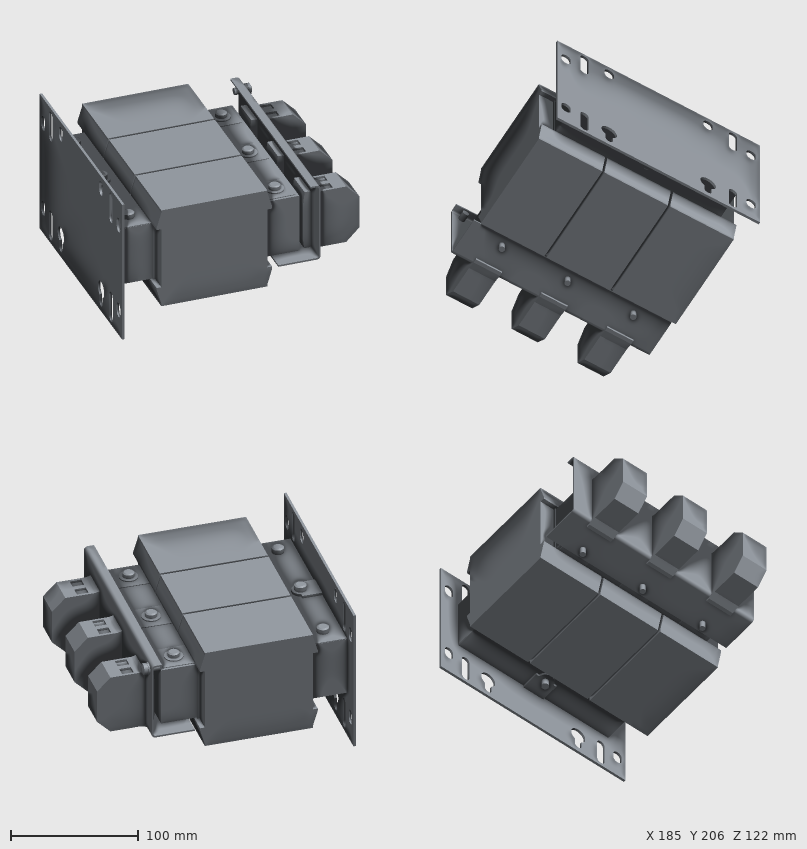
import cadquery as cq

PLATE_X, PLATE_T, PLATE_Z = 185.0, 2.0, 122.0

PITCH = 60.0
PHASE_X = [-PITCH, 0, PITCH]

CORE_X = 150.5
CORE_BACK = 154.6
CORE_BOTTOM, CORE_TOP = -21.0, 28.6
FLANGE_T = 2.0
FLANGE_OVERHANG = 0.8
FLANGE_X = CORE_X + 2 * FLANGE_OVERHANG

COIL_X = 57.9
COIL_FRONT, COIL_BACK = 34.2, 123.0
COIL_BOTTOM, COIL_TOP = -39.7, 47.2
LIP_REACH = 4.0
LIP_EDGE = 2.0
LIP_CLEARANCE = 0.6

TONGUE_TIP_X, TONGUE_ROOT_X = 26.1, 27.0
TONGUE_END = 152.4
SHEET_T = 0.6
SHEET_INSET = 0.2
STACK_BOTTOM, STACK_TOP = CORE_BOTTOM - SHEET_T, CORE_TOP + SHEET_T

REAR_BOLT_Y, FRONT_BOLT_Y = 139.5, 17.0
REAR_HEAD_R, FRONT_HEAD_R, HEAD_H = 4.7, 5.0, 5.0
HEAD_FLAT_R, HEAD_BEVEL_H = 3.5, 0.8
WASHER_R, WASHER_T = 7.6, 1.0
REAR_SHANK_R, FRONT_SHANK_R = 2.5, 3.0
SHANK_END = -29.6

TAB_X, TAB_END, TAB_T, TAB_EYE_R = 20.0, 18.5, 2.3, 7.2

BRACKET_X, BRACKET_T, BRACKET_BEND = 180.4, 1.5, 3.0
BRACKET_BACK, BRACKET_FRONT = 166.8, 131.5
BRACKET_TOP, BRACKET_LIP_FRONT = 43.9, 158.5

EARTH_X, EARTH_Z = -81.5, 36.9
EARTH_SHANK_R, EARTH_SHANK_END = 2.9, 158.3
EARTH_WASHER_R, LOCK_WASHER_R, EARTH_WASHER_T = 5.0, 4.3, 1.2
EARTH_HEAD_R, EARTH_HEAD_BACK = 4.7, 172.8
EARTH_HEAD_FLAT_R, EARTH_BEVEL_H = 2.3, 1.2

TERMINAL_X, TERMINAL_OFFSET = 12.0, 0.5
TERMINAL_MID_Z = 2.0
TERMINAL_HALF_Z, CLIP_HALF_Z = 25.1, 27.0
TERMINAL_BACK, TERMINAL_CHAMFER = 206.0, 11.0
CLIP_FRONT, CLIP_SHOULDER, CLIP_CREST, CLIP_SLOPE_END = 159.0, 160.2, 163.5, 170.5
CLIP_CHAMFER_Z = 10.3
WINDOW_X, WINDOW_Y, WINDOW_MID_Y, WINDOW_DEPTH = 7.6, 9.5, 180.0, 2.0


def box(x0, x1, y0, y1, z0, z1):
    return cq.Workplane("XY").box(x1 - x0, y1 - y0, z1 - z0, centered=False).translate((x0, y0, z0))


def centred_box(width, y0, y1, z0, z1, x=0):
    return box(x - width / 2, x + width / 2, y0, y1, z0, z1)


def disc_z(x, y, z0, z1, radius):
    return cq.Workplane("XY").center(x, y).circle(radius).extrude(z1 - z0).translate((0, 0, z0))


def disc_y(x, z, y0, y1, radius):
    return cq.Workplane("XZ").center(x, z).circle(radius).extrude(y0 - y1).translate((0, y0, 0))


def side_profile(points, x, width):
    """Extrude a closed (y, z) outline along X, centred on x."""
    return cq.Workplane("YZ").polyline(points).close().extrude(width / 2, both=True).translate((x, 0, 0))


CORNER_SLOT_X, CORNER_SLOT_Z = 84.5, 38.5
CORNER_SLOT_LENGTH, CORNER_SLOT_WIDTH = 12.4, 8.2
LONG_SLOT_X, LONG_SLOT_Z = 67.7, 44.9
LONG_SLOT_LENGTH, LONG_SLOT_WIDTH = 26.5, 7.5
INNER_X = 45.0
SHORT_SLOT_Z = 50.2
KEYHOLE_Z, KEYHOLE_R = -41.4, 7.0
KEYHOLE_NECK_WIDTH, KEYHOLE_NECK_END = 6.5, -56.5


def upright_slot(x, z, length, width):
    return (cq.Workplane("XZ").center(x, z).slot2D(length, width, 90)
            .extrude(PLATE_T, both=True))


def mounting_plate():
    plate = centred_box(PLATE_X, 0, PLATE_T, -PLATE_Z / 2, PLATE_Z / 2)
    neck_length = KEYHOLE_Z - KEYHOLE_NECK_END
    neck_z = (KEYHOLE_Z + KEYHOLE_NECK_END) / 2
    for side in (-1, 1):
        for level in (-1, 1):
            plate = plate.cut(upright_slot(side * CORNER_SLOT_X, level * CORNER_SLOT_Z,
                                           CORNER_SLOT_LENGTH, CORNER_SLOT_WIDTH))
            plate = plate.cut(upright_slot(side * LONG_SLOT_X, level * LONG_SLOT_Z,
                                           LONG_SLOT_LENGTH, LONG_SLOT_WIDTH))
        x = side * INNER_X
        plate = plate.cut(upright_slot(x, SHORT_SLOT_Z, CORNER_SLOT_LENGTH, CORNER_SLOT_WIDTH))
        plate = plate.cut(disc_y(x, KEYHOLE_Z, 0, PLATE_T, KEYHOLE_R))
        plate = plate.cut(upright_slot(x, neck_z, neck_length, KEYHOLE_NECK_WIDTH))
    return plate


def plate_tab(z0):
    tab = centred_box(TAB_X, 0, TAB_END, z0, z0 + TAB_T)
    return tab.union(disc_z(0, FRONT_BOLT_Y, z0, z0 + TAB_T, TAB_EYE_R))


def core():
    front_yoke = centred_box(CORE_X, PLATE_T, COIL_FRONT, CORE_BOTTOM, CORE_TOP)
    rear_yoke = centred_box(CORE_X, COIL_BACK, CORE_BACK, CORE_BOTTOM, CORE_TOP)
    front_sheets = centred_box(CORE_X - 2 * SHEET_INSET, PLATE_T, COIL_FRONT, STACK_BOTTOM, STACK_TOP)
    body = front_yoke.union(rear_yoke).union(front_sheets)
    z0, z1 = CORE_BOTTOM - FLANGE_OVERHANG, CORE_TOP + FLANGE_OVERHANG
    body = body.union(centred_box(FLANGE_X, COIL_FRONT - FLANGE_T, COIL_FRONT, z0, z1))
    return body.union(centred_box(FLANGE_X, COIL_BACK, COIL_BACK + FLANGE_T, z0, z1))


def coil(x):
    lip_bottom = CORE_BOTTOM - FLANGE_OVERHANG - LIP_CLEARANCE
    lip_top = CORE_TOP + FLANGE_OVERHANG + LIP_CLEARANCE
    lip_front, lip_back = COIL_FRONT - LIP_REACH, COIL_BACK + LIP_REACH
    outline = [
        (COIL_FRONT, COIL_TOP), (COIL_BACK, COIL_TOP), (COIL_BACK, COIL_TOP - LIP_EDGE),
        (lip_back, lip_top + LIP_EDGE), (lip_back, lip_top), (COIL_BACK, lip_top),
        (COIL_BACK, lip_bottom), (lip_back, lip_bottom), (lip_back, lip_bottom - LIP_EDGE),
        (COIL_BACK, COIL_BOTTOM + LIP_EDGE), (COIL_BACK, COIL_BOTTOM),
        (COIL_FRONT, COIL_BOTTOM), (COIL_FRONT, COIL_BOTTOM + LIP_EDGE),
        (lip_front, lip_bottom - LIP_EDGE), (lip_front, lip_bottom), (COIL_FRONT, lip_bottom),
        (COIL_FRONT, lip_top), (lip_front, lip_top), (lip_front, lip_top + LIP_EDGE),
        (COIL_FRONT, COIL_TOP - LIP_EDGE),
    ]
    return side_profile(outline, x, COIL_X)


def tongue(x, z0):
    """Thin insulating strip lying on the rear yoke, slightly wider towards the coil."""
    root, tip = TONGUE_ROOT_X / 2, TONGUE_TIP_X / 2
    outline = [(x - root, COIL_BACK), (x - tip, TONGUE_END), (x + tip, TONGUE_END), (x + root, COIL_BACK)]
    return cq.Workplane("XY").polyline(outline).close().extrude(SHEET_T).translate((0, 0, z0))


def bevel(head, end, depth, inset):
    """Bevel the rim of a screw head: depth along its axis, inset towards the axis."""
    return head.faces(end).edges().chamfer(depth, inset)


def bolt(x, y, seat, head_r, shank_r, shank_end):
    head = disc_z(x, y, seat, seat + HEAD_H, head_r)
    head = bevel(head, ">Z", HEAD_BEVEL_H, head_r - HEAD_FLAT_R)
    return head.union(disc_z(x, y, shank_end, seat, shank_r))


def rear_bolt(x):
    seat = STACK_TOP
    washer = disc_z(x, REAR_BOLT_Y, seat, seat + WASHER_T, WASHER_R)
    return washer.union(bolt(x, REAR_BOLT_Y, seat, REAR_HEAD_R, REAR_SHANK_R, SHANK_END))


def front_bolt(x):
    """Only the middle bolt passes right through; it also clamps the plate tabs."""
    if x == 0:
        return bolt(x, FRONT_BOLT_Y, STACK_TOP + TAB_T, FRONT_HEAD_R, FRONT_SHANK_R, SHANK_END)
    return bolt(x, FRONT_BOLT_Y, STACK_TOP, FRONT_HEAD_R, FRONT_SHANK_R, CORE_BOTTOM)


def bracket():
    shelf_top = STACK_BOTTOM
    z0 = shelf_top - BRACKET_T
    inner = BRACKET_BACK - BRACKET_T
    outline = [
        (BRACKET_FRONT, z0), (BRACKET_BACK, z0), (BRACKET_BACK, BRACKET_TOP),
        (BRACKET_LIP_FRONT, BRACKET_TOP), (BRACKET_LIP_FRONT, BRACKET_TOP - BRACKET_T),
        (inner, BRACKET_TOP - BRACKET_T), (inner, shelf_top), (BRACKET_FRONT, shelf_top),
    ]
    sheet = side_profile(outline, 0, BRACKET_X)
    sheet = sheet.faces(">Y").edges("|X").fillet(BRACKET_BEND)
    corner_zone = cq.selectors.BoxSelector(
        (-BRACKET_X, inner - BRACKET_T / 2, z0), (BRACKET_X, inner + BRACKET_T / 2, BRACKET_TOP))
    inner_corners = sheet.edges(corner_zone).edges("|X")
    return inner_corners.fillet(BRACKET_BEND - BRACKET_T)


def earth_screw():
    lock_start = BRACKET_BACK + EARTH_WASHER_T
    head_start = lock_start + EARTH_WASHER_T
    shank = disc_y(EARTH_X, EARTH_Z, EARTH_SHANK_END, BRACKET_BACK, EARTH_SHANK_R)
    washer = disc_y(EARTH_X, EARTH_Z, BRACKET_BACK, lock_start, EARTH_WASHER_R)
    lock_washer = disc_y(EARTH_X, EARTH_Z, lock_start, head_start, LOCK_WASHER_R)
    head = disc_y(EARTH_X, EARTH_Z, head_start, EARTH_HEAD_BACK, EARTH_HEAD_R)
    head = bevel(head, ">Y", EARTH_BEVEL_H, EARTH_HEAD_R - EARTH_HEAD_FLAT_R)
    return shank.union(washer).union(lock_washer).union(head)


def terminal(x):
    upper = [
        (CLIP_FRONT, CLIP_HALF_Z - CLIP_CHAMFER_Z), (CLIP_SHOULDER, CLIP_HALF_Z),
        (CLIP_CREST, CLIP_HALF_Z), (CLIP_SLOPE_END, TERMINAL_HALF_Z),
        (TERMINAL_BACK - TERMINAL_CHAMFER, TERMINAL_HALF_Z),
        (TERMINAL_BACK, TERMINAL_HALF_Z - TERMINAL_CHAMFER),
    ]
    lower = [(y, -z) for y, z in reversed(upper)]
    block = side_profile(upper + lower, x, TERMINAL_X).translate((0, 0, TERMINAL_MID_Z))
    top = TERMINAL_MID_Z + TERMINAL_HALF_Z
    window = centred_box(WINDOW_X, WINDOW_MID_Y - WINDOW_Y / 2, WINDOW_MID_Y + WINDOW_Y / 2,
                         top - WINDOW_DEPTH, top, x)
    return block.cut(window)


result = mounting_plate().union(core()).union(bracket()).union(earth_screw())
result = result.union(plate_tab(STACK_TOP)).union(plate_tab(STACK_BOTTOM - TAB_T))
for phase_x in PHASE_X:
    result = result.union(coil(phase_x)).union(tongue(phase_x, CORE_TOP))
    result = result.union(tongue(phase_x, STACK_BOTTOM))
    result = result.union(rear_bolt(phase_x)).union(front_bolt(phase_x))
    for side in (-1, 1):
        result = result.union(terminal(phase_x + TERMINAL_OFFSET + side * TERMINAL_X / 2))